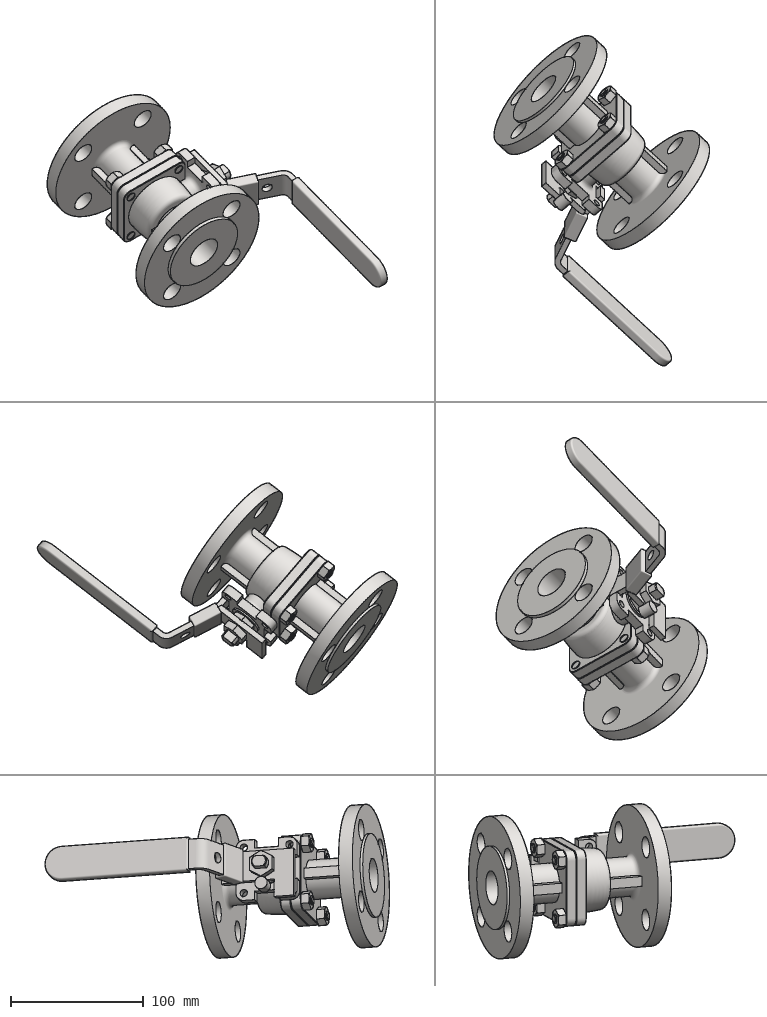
import cadquery as cq
import math


body_length = 127.1
overall_height = 149.3
flange_diameter = 108.0
flange_thickness = 10.9
raised_face_diameter = 63.3
left_raised_height = 2.0
right_raised_height = 2.8
bore_diameter = 25.7
bolt_circle_diameter = 79.3
bolt_hole_diameter = 16.0
bolt_hole_count = 4
bolt_hole_angle = 45.0
pipe_diameter = 30.0
pipe_fillet = 4.0
rib_height = 39.8
rib_width = 7.6

square_side = 58.0
square_corner = 6.5
square_start = 49.0
square_thickness = 8.0
square_chamfer = 0.5
square_end = square_start + 2 * square_thickness
stud_offset = square_side / 2 - square_corner
stud_diameter = 7.2
stud_chamfer = 0.7
stud_start = 41.1
stud_protrusion = 0.7
stud_end = square_end + stud_protrusion
stud_nut_start = 42.5
stud_nut_flats = 12.7
stud_nut_chamfer = 0.7

housing_end = 88.0
housing_shoulder = 84.4
housing_start_radius = 24.5
housing_middle_radius = 24.3
housing_shoulder_radius = 23.3
housing_corner = housing_end - housing_shoulder

stem_x = 73.0
neck_diameter = 21.3
neck_fillet = 4.0
pad_bottom = 32.0
pad_top = 39.0
pad_length = 47.5
pad_width = 47.2
pad_corner = 6.0
pad_hole_offset = 17.8
pad_hole_diameter = 5.5
pad_notch_width = 18.5
pad_notch_depth = 6.7
washer_diameter = 24.5
washer_top = 40.5
stem_nut_flats = 17.5
stem_nut_top = 55.2
stem_diameter = 11.8
stem_flats = 8.0
stem_top = 62.0
stem_chamfer = 0.7

strip_thickness = 4.5
strip_width = 23.0
plate_bottom = 45.0
plate_middle = plate_bottom + strip_thickness / 2
handle_start = stem_x - pad_length / 2
handle_bend_x = 90.5
handle_angle = 68.0
handle_bend_radius = 6.7
handle_hole_diameter = 7.9
handle_hole_height = 77.2
stop_lobe_length = 15.0
stop_lobe_reach = 25.2
stop_pin_diameter = 9.7
stop_pin_offset = 15.3

handle_end = 231.1
grip_start = 119.0
grip_width = 26.3
grip_thickness = 7.0
grip_top = overall_height - flange_diameter / 2
grip_fillet = 1.5
grip_middle = grip_top - grip_thickness / 2

sleeve_length = 23.0
sleeve_thickness = 9.5
sleeve_width = 26.3
sleeve_fillet = 1.0
sleeve_x = 96.6
sleeve_y = 59.2
tab_x = 94.0
tab_thickness = 4.5
tab_bottom = 29.0
tab_width = 17.0


def disc_x(x_start, x_end, diameter):
    """Cylinder on the pipe axis."""
    return cq.Workplane("YZ", origin=(x_start, 0, 0)).circle(diameter / 2).extrude(x_end - x_start)


def stem_plane(y):
    """Workplane across the stem at height y, its local axes being X and -Z and its normal +Y."""
    return cq.Workplane(cq.Plane(origin=(stem_x, y, 0), xDir=(1, 0, 0), normal=(0, 1, 0)))


def block(x_start, x_end, y_start, y_end, z_start, z_end):
    size = (x_end - x_start, y_end - y_start, z_end - z_start)
    return cq.Workplane("XY").box(*size, centered=False).translate((x_start, y_start, z_start))


def hexagon(workplane, flats):
    """Hexagon with its corners on the Z axis."""
    corner_diameter = flats / math.cos(math.pi / 6)
    return workplane.transformed(rotate=(0, 0, 90)).polygon(6, corner_diameter)


def pipe_with_flanges():
    left_face = left_raised_height
    left_back = left_face + flange_thickness
    right_face = body_length - right_raised_height
    right_back = right_face - flange_thickness
    pipe_radius = pipe_diameter / 2
    fillet_radius = pipe_radius + pipe_fillet
    turn = pipe_fillet * (1 - math.sqrt(0.5))
    pipe = (
        cq.Workplane("XY")
        .moveTo(left_back, 0)
        .lineTo(left_back, fillet_radius)
        .threePointArc((left_back + turn, pipe_radius + turn), (left_back + pipe_fillet, pipe_radius))
        .lineTo(right_back - pipe_fillet, pipe_radius)
        .threePointArc((right_back - turn, pipe_radius + turn), (right_back, fillet_radius))
        .lineTo(right_back, 0)
        .close()
        .revolve(360, (0, 0, 0), (1, 0, 0))
    )
    flanges = disc_x(left_face, left_back, flange_diameter).union(
        disc_x(right_back, right_face, flange_diameter)
    )
    bolt_holes = (
        cq.Workplane("YZ")
        .polarArray(bolt_circle_diameter / 2, bolt_hole_angle, 360, bolt_hole_count)
        .circle(bolt_hole_diameter / 2)
        .extrude(body_length)
    )
    rib = block(left_back, right_back, -rib_height / 2, rib_height / 2, -rib_width / 2, rib_width / 2)
    raised_faces = disc_x(0, left_face, raised_face_diameter).union(
        disc_x(right_face, body_length, raised_face_diameter)
    )
    return flanges.cut(bolt_holes).union(pipe).union(rib).union(raised_faces)


def square_flanges():
    flanges = cq.Workplane("XY")
    for x_start in (square_start, square_start + square_thickness):
        flange = (
            cq.Workplane("YZ", origin=(x_start, 0, 0))
            .rect(square_side, square_side)
            .extrude(square_thickness)
            .edges("|X")
            .fillet(square_corner)
            .faces("<X or >X")
            .chamfer(square_chamfer)
        )
        flanges = flanges.union(flange)
    return flanges


def stud_with_nut(y, z):
    stud = (
        cq.Workplane("YZ", origin=(stud_start, y, z))
        .circle(stud_diameter / 2)
        .extrude(stud_end - stud_start)
        .faces("<X")
        .chamfer(stud_chamfer)
    )
    nut_length = square_start - stud_nut_start
    nut_plane = cq.Workplane("YZ", origin=(stud_nut_start, y, z))
    nut = hexagon(nut_plane, stud_nut_flats).extrude(nut_length)
    corner_radius = stud_nut_flats / math.sqrt(3)
    rounding = nut_plane.circle(corner_radius).extrude(nut_length).faces("<X").chamfer(stud_nut_chamfer)
    return nut.intersect(rounding).union(stud)


def ball_housing():
    middle = (square_end + housing_shoulder) / 2
    corner_turn = housing_corner * math.sqrt(0.5)
    end_radius = housing_shoulder_radius - housing_corner
    return (
        cq.Workplane("XY")
        .moveTo(square_start, 0)
        .lineTo(square_start, housing_start_radius)
        .lineTo(square_end, housing_start_radius)
        .threePointArc((middle, housing_middle_radius), (housing_shoulder, housing_shoulder_radius))
        .threePointArc(
            (housing_shoulder + corner_turn, end_radius + corner_turn),
            (housing_end, end_radius),
        )
        .lineTo(housing_end, 0)
        .close()
        .revolve(360, (0, 0, 0), (1, 0, 0))
    )


def mounting_pad():
    pad_height = pad_top - pad_bottom
    pad = (
        stem_plane(pad_bottom)
        .rect(pad_length, pad_width)
        .extrude(pad_height)
        .edges("|Y")
        .fillet(pad_corner)
    )
    holes = (
        stem_plane(pad_bottom)
        .rect(2 * pad_hole_offset, 2 * pad_hole_offset, forConstruction=True)
        .vertices()
        .circle(pad_hole_diameter / 2)
        .extrude(pad_height)
    )
    cross_notches = (
        stem_plane(pad_bottom)
        .pushPoints([(0, pad_width / 2), (0, -pad_width / 2)])
        .rect(pad_notch_width, 2 * pad_notch_depth)
        .extrude(pad_height)
    )
    end_notches = (
        stem_plane(pad_bottom)
        .pushPoints([(pad_length / 2, 0), (-pad_length / 2, 0)])
        .rect(2 * pad_notch_depth, pad_notch_width)
        .extrude(pad_height)
    )
    return pad.cut(holes).cut(cross_notches).cut(end_notches)


def neck():
    neck_radius = neck_diameter / 2
    turn = neck_fillet * (1 - math.sqrt(0.5))
    return (
        cq.Workplane("XY", origin=(stem_x, 0, 0))
        .lineTo(neck_radius, 0)
        .lineTo(neck_radius, pad_bottom - neck_fillet)
        .threePointArc(
            (neck_radius + turn, pad_bottom - turn),
            (neck_radius + neck_fillet, pad_bottom),
        )
        .lineTo(0, pad_bottom)
        .close()
        .revolve(360, (0, 0, 0), (0, 1, 0))
    )


def stem_with_nuts():
    washer = stem_plane(pad_top).circle(washer_diameter / 2).extrude(washer_top - pad_top)
    nuts = hexagon(stem_plane(washer_top), stem_nut_flats).extrude(stem_nut_top - washer_top)
    stem_height = stem_top - pad_top
    stem = stem_plane(pad_top).circle(stem_diameter / 2).extrude(stem_height)
    stem = stem.faces(">Y").chamfer(stem_chamfer)
    flats = stem_plane(pad_top).rect(stem_diameter, stem_flats).extrude(stem_height)
    return washer.union(nuts).union(stem.intersect(flats))


def along_handle(y):
    """X of the sloping handle's middle line at height y."""
    return handle_bend_x + (y - plate_middle) / math.tan(math.radians(handle_angle))


def sloping_plane(x, y):
    """Workplane square to the sloping part of the handle, its normal running up the slope."""
    angle = math.radians(handle_angle)
    return cq.Workplane(
        cq.Plane(origin=(x, y, 0), xDir=(0, 0, 1), normal=(math.cos(angle), math.sin(angle), 0))
    )


def handle_strip():
    half = strip_thickness / 2
    corner_shift = half * math.tan(math.radians(handle_angle / 2))
    top_bend_x = along_handle(grip_middle)
    inner_grip_end = handle_end - grip_width / 2
    strip = (
        cq.Workplane("XY", origin=(0, 0, -strip_width / 2))
        .polyline(
            [
                (handle_start, plate_middle - half),
                (handle_bend_x + corner_shift, plate_middle - half),
                (top_bend_x + corner_shift, grip_middle - half),
                (inner_grip_end, grip_middle - half),
                (inner_grip_end, grip_middle + half),
                (top_bend_x - corner_shift, grip_middle + half),
                (handle_bend_x - corner_shift, plate_middle + half),
                (handle_start, plate_middle + half),
            ]
        )
        .close()
        .extrude(strip_width)
    )
    outer_corner = cq.selectors.NearestToPointSelector((top_bend_x - corner_shift, grip_middle + half, 0))
    inner_corner = cq.selectors.NearestToPointSelector((top_bend_x + corner_shift, grip_middle - half, 0))
    strip = strip.edges("|Z").edges(outer_corner).fillet(handle_bend_radius + half)
    strip = strip.edges("|Z").edges(inner_corner).fillet(handle_bend_radius - half)
    angle = math.radians(handle_angle)
    hole_plane = cq.Plane(
        origin=(along_handle(handle_hole_height), handle_hole_height, 0),
        xDir=(0, 0, 1),
        normal=(math.sin(angle), -math.cos(angle), 0),
    )
    hole = cq.Workplane(hole_plane).circle(handle_hole_diameter / 2).extrude(strip_thickness, both=True)
    return strip.cut(hole)


def handle_stop():
    """Sideways lobe of the handle plate and the stop pin beside the stem nut."""
    plate_top = plate_bottom + strip_thickness
    lobe = block(
        handle_start, handle_start + stop_lobe_length, plate_bottom, plate_top, -stop_lobe_reach, 0
    )
    pin = (
        stem_plane(plate_bottom)
        .center(0, stop_pin_offset)
        .circle(stop_pin_diameter / 2)
        .extrude(stem_nut_top - plate_bottom)
    )
    return lobe.union(pin)


def grip():
    straight = handle_end - grip_width / 2
    half = grip_width / 2
    plane = cq.Plane(origin=(0, grip_top - grip_thickness, 0), xDir=(1, 0, 0), normal=(0, 1, 0))
    return (
        cq.Workplane(plane)
        .moveTo(grip_start, -half)
        .lineTo(straight, -half)
        .threePointArc((handle_end, 0), (straight, half))
        .lineTo(grip_start, half)
        .close()
        .extrude(grip_thickness)
        .faces(">Y or <Y")
        .edges()
        .fillet(grip_fillet)
    )


def sliding_lock():
    sleeve = (
        sloping_plane(sleeve_x, sleeve_y)
        .rect(sleeve_width, sleeve_thickness)
        .extrude(sleeve_length / 2, both=True)
    )
    sleeve = sleeve.edges().fillet(sleeve_fillet)
    tab = block(
        tab_x - tab_thickness / 2, tab_x + tab_thickness / 2,
        tab_bottom, sleeve_y - sleeve_length / 4, -tab_width / 2, tab_width / 2,
    )
    return sleeve.union(tab)


result = pipe_with_flanges().union(square_flanges()).union(ball_housing())
for y in (-stud_offset, stud_offset):
    for z in (-stud_offset, stud_offset):
        result = result.union(stud_with_nut(y, z))
result = result.union(neck()).union(mounting_pad()).union(stem_with_nuts())
result = result.cut(disc_x(0, body_length, bore_diameter))
result = result.union(handle_strip()).union(handle_stop()).union(grip()).union(sliding_lock())